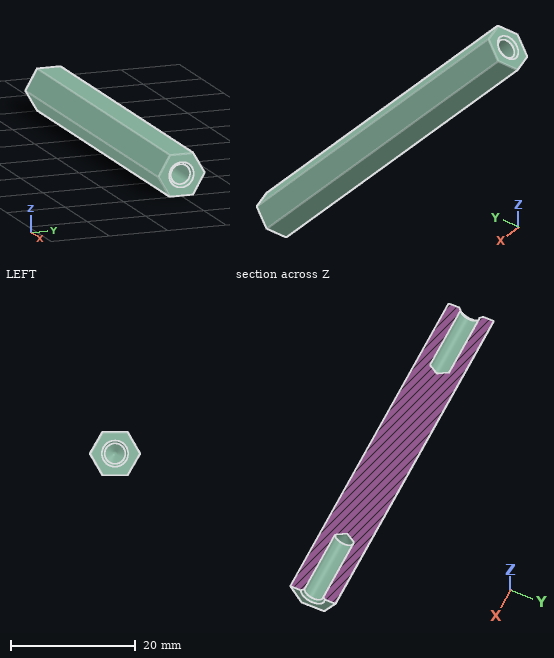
import cadquery as cq
import math

length = 60.0
across_flats = 7.0
edge_radius = 0.15

hole_diameter = 3.3
hole_depth = 12.0
mouth_diameter = 4.2
drill_point_angle = 118.0


def hexagonal_bar():
    """Hexagonal bar centred on the origin, flats facing +Z and -Z, all edges rounded."""
    corner_diameter = across_flats / math.cos(math.pi / 6)
    return (
        cq.Workplane("YZ")
        .workplane(offset=-length / 2)
        .polygon(6, corner_diameter)
        .extrude(length)
        .edges()
        .fillet(edge_radius)
    )


def end_hole():
    """Countersunk blind hole with a conical bottom, entering from -X."""
    hole_radius = hole_diameter / 2
    mouth_radius = mouth_diameter / 2
    countersink_depth = mouth_radius - hole_radius
    point_depth = hole_radius / math.tan(math.radians(drill_point_angle / 2))
    start = -length / 2
    return (
        cq.Workplane("XY")
        .moveTo(start, 0)
        .lineTo(start, mouth_radius)
        .lineTo(start + countersink_depth, hole_radius)
        .lineTo(start + hole_depth, hole_radius)
        .lineTo(start + hole_depth + point_depth, 0)
        .close()
        .revolve(360, (0, 0, 0), (1, 0, 0))
    )


near_hole = end_hole()
far_hole = near_hole.mirror("YZ")
result = hexagonal_bar().cut(near_hole).cut(far_hole)